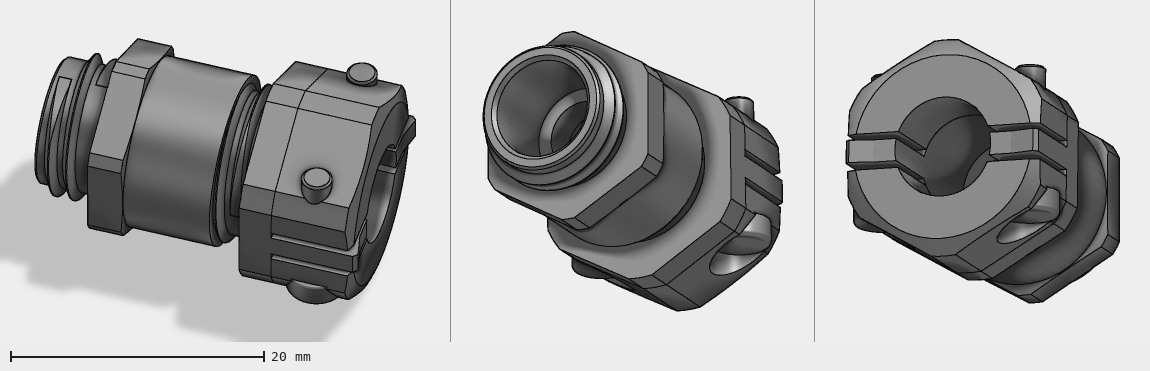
import cadquery as cq
import math

TURN = -0.85

STUB_START = 0.0
FITTING_HEX_START = 5.0
FITTING_HEX_END = 7.9
SLEEVE_END = 15.04
GLAND_HEX_START = 17.83
JAW_START = 20.48
JAW_END = 27.08
PRONG_END = 27.55

STUB_RADIUS = 10.26 / 2
STUB_CHAMFER = 0.2
FITTING_BORE_RADIUS = 7.94 / 2
FITTING_BORE_CHAMFER = 0.33
FITTING_HEX_FLATS = 14.0
FITTING_HEX_RADIUS = 7.78
FITTING_HEX_CHAMFER = 0.14
SLEEVE_RADIUS = 13.87 / 2

SEAL_LENGTH = 3.0
SEAL_BORE_RADIUS = 5.77 / 2
SEAL_END = FITTING_HEX_END + SEAL_LENGTH

NECK_RADIUS = 11.54 / 2
GLAND_BORE_RADIUS = 8.0 / 2
GLAND_HEX_FLATS = 16.08
GLAND_HEX_RADIUS = 17.52 / 2
PRONG_HEIGHT = 1.8
PRONG_CORNER = 0.35
PRONG_TIP_DEPTH = 0.45
PRONG_TIP_RADIUS = 7.7
PRONG_TIP_INNER_RADIUS = 5.75

JAW_GAP = 2.9
JAW_CHAMFER_LENGTH = 0.51
JAW_FACE_RADIUS = 7.43

SCREW_X = 23.61
SCREW_Y = 6.02
SHANK_RADIUS = 2.41 / 2
SHANK_TOP = 6.79
SHANK_CHAMFER = (2.41 - 2.05) / 2
HEAD_RADIUS = 4.9 / 2
HEAD_TOP = -3.27
HEAD_BOTTOM = -5.37
HEAD_FILLET = 0.5
HEAD_TOP_FILLET = 0.2

PITCH = 1.5
THREAD_BASE_WIDTH = 1.03
THREAD_CREST_WIDTH = 0.1
THREAD_TAIL_HEIGHT = 0.04
THREAD_EMBED = 0.15
HELIX_STEP = 15.0
STUB_THREAD_START = 1.02
STUB_THREAD_TURNS = 2.0
STUB_THREAD_CREST = 5.87
STUB_THREAD_ANGLE = 90.0
STUB_THREAD_TAIL = 9.5
STUB_THREAD_RUNOUT = 60.0
NECK_THREAD_END = 16.91
NECK_THREAD_TURNS = 2.0
NECK_THREAD_CREST = 6.49
NECK_THREAD_ANGLE = 180.0
NECK_THREAD_TAIL = 4.0
NECK_THREAD_RUNOUT = 80.0


def rod(start, end, radius):
    """Solid cylinder about X from start to end."""
    return cq.Workplane("YZ").workplane(offset=start).circle(radius).extrude(end - start)


def rounded_hex(start, end, flats, radius):
    """Hexagonal prism about X with two flats facing Y and its corners turned to a radius."""
    across_corners = flats / math.cos(math.radians(30))
    prism = cq.Workplane("YZ").workplane(offset=start).polygon(6, across_corners).extrude(end - start)
    return prism.rotate((0, 0, 0), (1, 0, 0), 30).intersect(rod(start, end, radius))


def turned_end(start, end, radius, length, face_radius):
    """Envelope about X: a cylinder that tapers to face_radius over its last length."""
    outline = [(start, 0), (start, radius), (end - length, radius), (end, face_radius), (end, 0)]
    return cq.Workplane("XY").polyline(outline).close().revolve(360, (0, 0, 0), (1, 0, 0))


def helix_edge(start_point, end_point):
    """Helix about X, cylindrical or tapering, between two (angle, x, radius) points."""
    sweep = end_point[0] - start_point[0]
    steps = math.ceil(sweep / HELIX_STEP) + 1
    points = []
    for i in range(steps + 1):
        angle, x, radius = [a + (b - a) * i / steps for a, b in zip(start_point, end_point)]
        turn = math.radians(angle)
        points.append(cq.Vector(x, radius * math.cos(turn), radius * math.sin(turn)))
    return cq.Edge.makeSpline(points)


def thread_piece(start, end, root_radius, crest_radius):
    """Stretch of thread between two (angle, x, height) stations, its flanks cut off at the height."""
    full_height = crest_radius - root_radius
    slope = (THREAD_BASE_WIDTH - THREAD_CREST_WIDTH) / 2 / full_height

    def corners(station):
        angle, x, height = station
        half_top = THREAD_BASE_WIDTH / 2 - slope * height
        half_root = THREAD_BASE_WIDTH / 2 + slope * THREAD_EMBED
        root = root_radius - THREAD_EMBED
        top = root_radius + height
        section = [(-half_root, root), (-half_top, top), (half_top, top), (half_root, root)]
        return [(angle, x + offset, radius) for offset, radius in section]

    edges = [helix_edge(a, b) for a, b in zip(corners(start), corners(end))]
    sides = [cq.Face.makeRuledSurface(edges[i], edges[(i + 1) % 4]) for i in range(4)]

    def cap(at_start):
        points = [edge.startPoint() if at_start else edge.endPoint() for edge in edges]
        return cq.Face.makeFromWires(cq.Wire.makePolygon(points, close=True))

    shell = cq.Shell.makeShell(sides + [cap(True), cap(False)])
    return cq.Workplane(cq.Solid.makeSolid(shell).fix())


def thread(x_start, turns, angle_start, tail, runout, root_radius, crest_radius):
    """Pieces of a right-hand thread about X that ramps up from a low tail and back down to one."""
    sweep = 360 * turns
    height = crest_radius - root_radius
    profile = [
        (0, THREAD_TAIL_HEIGHT),
        (tail, THREAD_TAIL_HEIGHT),
        (runout, height),
        (sweep - runout, height),
        (sweep - tail, THREAD_TAIL_HEIGHT),
        (sweep, THREAD_TAIL_HEIGHT),
    ]
    stations = [(angle_start + a, x_start + PITCH * a / 360, h) for a, h in profile]
    return [thread_piece(a, b, root_radius, crest_radius) for a, b in zip(stations, stations[1:])]


def make_fitting():
    """Threaded stub, hexagon and sleeve in one, bored for the cable and recessed for the gland."""
    stub = rod(STUB_START, FITTING_HEX_START, STUB_RADIUS).faces("<X").chamfer(STUB_CHAMFER)

    for piece in thread(STUB_THREAD_START, STUB_THREAD_TURNS, STUB_THREAD_ANGLE, STUB_THREAD_TAIL,
                        STUB_THREAD_RUNOUT, STUB_RADIUS, STUB_THREAD_CREST):
        stub = stub.union(piece)
    hexagon = rounded_hex(FITTING_HEX_START, FITTING_HEX_END, FITTING_HEX_FLATS, FITTING_HEX_RADIUS)
    hexagon = hexagon.intersect(turned_end(FITTING_HEX_START, FITTING_HEX_END, FITTING_HEX_RADIUS,
                                           FITTING_HEX_CHAMFER, SLEEVE_RADIUS))
    sleeve = rod(FITTING_HEX_START, SLEEVE_END, SLEEVE_RADIUS)
    bore = rod(STUB_START, SLEEVE_END, FITTING_BORE_RADIUS)
    mouth = cq.Workplane(cq.Solid.makeCone(FITTING_BORE_RADIUS + FITTING_BORE_CHAMFER, FITTING_BORE_RADIUS,
                                           FITTING_BORE_CHAMFER, dir=cq.Vector(1, 0, 0)))
    recess = rod(FITTING_HEX_END, SLEEVE_END, NECK_RADIUS)
    return stub.union(hexagon).union(sleeve).cut(bore).cut(mouth).cut(recess)


def make_seal():
    """Ring between the bottom of the fitting's recess and the gland's neck."""
    return rod(FITTING_HEX_END, SEAL_END, NECK_RADIUS).cut(rod(FITTING_HEX_END, SEAL_END, SEAL_BORE_RADIUS))


def on_screws(shape):
    """Copies of a shape at both screw axes."""
    return [shape.translate((SCREW_X, side * SCREW_Y, 0)) for side in (-1, 1)]


def screw_rod(bottom, top, radius):
    """Cylinder along Z, on the axis of a screw."""
    return cq.Workplane("XY").workplane(offset=bottom).circle(radius).extrude(top - bottom)


def make_screws():
    """Two separate screws, heads down, their ends standing out of the upper jaw."""
    head = screw_rod(HEAD_BOTTOM, HEAD_TOP, HEAD_RADIUS).faces("<Z").edges().fillet(HEAD_FILLET)
    head = head.faces(">Z").edges().fillet(HEAD_TOP_FILLET)
    shank = screw_rod(HEAD_BOTTOM + HEAD_FILLET, SHANK_TOP, SHANK_RADIUS).faces(">Z").chamfer(SHANK_CHAMFER)
    return on_screws(head.union(shank))


def drill_for_screws(body):
    """Holes for both shanks, right through a body."""
    hole = screw_rod(-GLAND_HEX_RADIUS, GLAND_HEX_RADIUS, SHANK_RADIUS)
    for copy in on_screws(hole):
        body = body.cut(copy)
    return body


def make_prongs():
    """Two flat prongs at +Y and -Y that stand between the jaws."""
    half_flats = GLAND_HEX_FLATS / 2
    tip_start = PRONG_END - PRONG_TIP_DEPTH
    prong = (
        cq.Workplane("XY")
        .moveTo(GLAND_HEX_START, 0)
        .lineTo(GLAND_HEX_START, half_flats)
        .lineTo(PRONG_END - PRONG_CORNER, half_flats)
        .lineTo(PRONG_END, PRONG_TIP_RADIUS)
        .lineTo(tip_start, PRONG_TIP_INNER_RADIUS)
        .lineTo(tip_start, 0)
        .close()
        .extrude(PRONG_HEIGHT / 2, both=True)
    )
    return prong.union(prong.mirror("XZ"))


def make_gland():
    """Threaded neck, hexagon and clamping prongs in one."""
    neck = rod(SEAL_END, GLAND_HEX_START, NECK_RADIUS)
    thread_start = NECK_THREAD_END - NECK_THREAD_TURNS * PITCH
    outside_sleeve = rod(SLEEVE_END, GLAND_HEX_START, GLAND_HEX_RADIUS)
    for piece in thread(thread_start, NECK_THREAD_TURNS, NECK_THREAD_ANGLE, NECK_THREAD_TAIL,
                        NECK_THREAD_RUNOUT, NECK_RADIUS, NECK_THREAD_CREST):
        exposed = piece.intersect(outside_sleeve)
        if exposed.solids().size() > 0:
            neck = neck.union(exposed)
    hexagon = rounded_hex(GLAND_HEX_START, JAW_START, GLAND_HEX_FLATS, GLAND_HEX_RADIUS)
    bore = rod(SEAL_END, PRONG_END, GLAND_BORE_RADIUS)
    return drill_for_screws(neck.union(hexagon).union(make_prongs()).cut(bore))


def make_jaw(side):
    """Half of the hexagonal clamp, above the prongs for side 1 and below them for side -1."""
    block = rounded_hex(JAW_START, JAW_END, GLAND_HEX_FLATS, GLAND_HEX_RADIUS)
    block = block.intersect(turned_end(JAW_START, JAW_END, GLAND_HEX_RADIUS,
                                       JAW_CHAMFER_LENGTH, JAW_FACE_RADIUS))
    width = 2 * GLAND_HEX_RADIUS
    half = cq.Workplane("XY").box(JAW_END, width, width, centered=(False, True, False))
    half = half.translate((0, 0, JAW_GAP / 2))
    if side < 0:
        half = half.mirror("XY")
    block = block.intersect(half)
    return drill_for_screws(block.cut(rod(JAW_START, JAW_END, GLAND_BORE_RADIUS)))


def counterbore(jaw):
    """Recesses for both screw heads, open downwards."""
    for copy in on_screws(screw_rod(-GLAND_HEX_RADIUS, HEAD_TOP, HEAD_RADIUS)):
        jaw = jaw.cut(copy)
    return jaw


def turned(body):
    """Body turned about X by the clamp's angle."""
    return body.rotate((0, 0, 0), (1, 0, 0), TURN)


fitting = make_fitting()
seal = make_seal()
gland = turned(make_gland())
upper_jaw = turned(make_jaw(1))
lower_jaw = turned(counterbore(make_jaw(-1)))
screws = [turned(screw) for screw in make_screws()]

result = cq.Compound.makeCompound(
    [
        fitting.val(),
        seal.val(),
        gland.val(),
        upper_jaw.val(),
        lower_jaw.val(),
        *[screw.val() for screw in screws],
    ]
)